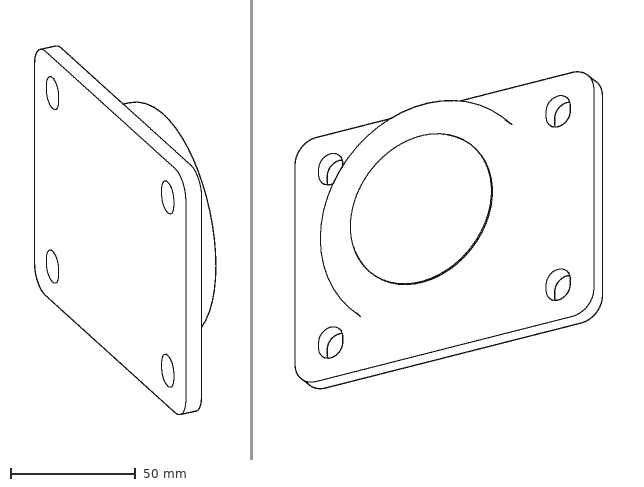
import cadquery as cq

plate_width = 138.0
plate_height = 109.0
plate_thickness = 7.0
corner_radius = 10.0

slot_width = 11.0
slot_length = 13.7
slot_spacing_x = 105.0
slot_spacing_z = 77.4

total_depth = 26.0
boss_diameter = 98.0
boss_fillet = 5.0
pad_diameter = 65.1
pad_height = 0.8

boss_radius = boss_diameter / 2
boss_end = total_depth - pad_height


def make_plate():
    plate = cq.Workplane("XZ").rect(plate_width, plate_height).extrude(-plate_thickness)
    return plate.edges("|Y").fillet(corner_radius)


def make_slots():
    return (
        cq.Workplane("XZ")
        .rect(slot_spacing_x, slot_spacing_z, forConstruction=True)
        .vertices()
        .slot2D(slot_length, slot_width, 90)
        .extrude(-plate_thickness)
    )


def make_boss():
    """Revolve the boss about Y: flared foot, straight wall, rounded rim and pad."""
    pad_radius = pad_diameter / 2
    foot_radius = boss_radius + boss_fillet
    rim_radius = boss_radius - boss_fillet
    arc_offset = boss_fillet * (1 - 0.5**0.5)
    profile = (
        cq.Workplane("XY")
        .lineTo(foot_radius, 0)
        .lineTo(foot_radius, plate_thickness)
        .threePointArc(
            (boss_radius + arc_offset, plate_thickness + arc_offset),
            (boss_radius, plate_thickness + boss_fillet),
        )
        .lineTo(boss_radius, boss_end - boss_fillet)
        .threePointArc(
            (boss_radius - arc_offset, boss_end - arc_offset),
            (rim_radius, boss_end),
        )
        .lineTo(pad_radius, boss_end)
        .lineTo(pad_radius, total_depth)
        .lineTo(0, total_depth)
        .close()
    )
    return profile.revolve(360, (0, 0, 0), (0, 1, 0))


result = make_plate().union(make_boss()).cut(make_slots())